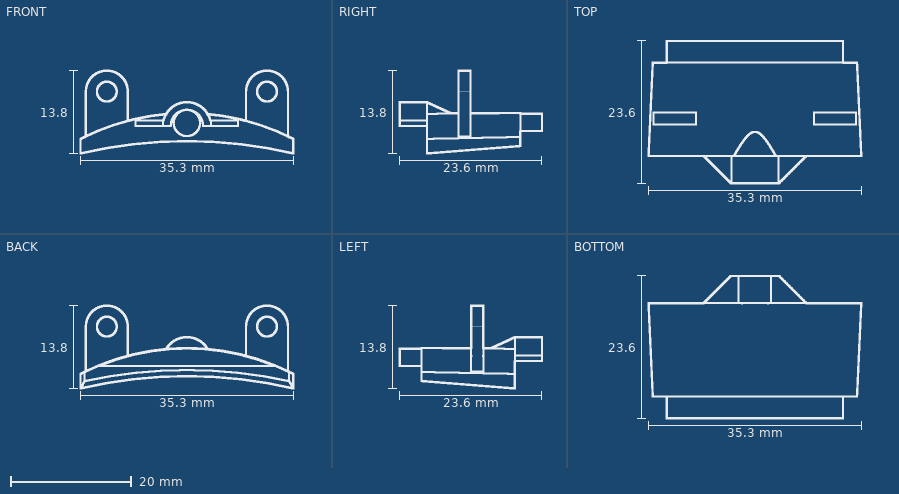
import cadquery as cq
import math


body_length = 15.5
front_half_width = 17.65
front_side_bottom = 0.0
front_side_top = 2.45
front_crown_bottom = 2.05
front_crown_top = 6.67
back_half_width = 16.95
back_side_bottom = 1.25
back_side_top = 2.75
back_crown_bottom = 3.07
back_crown_top = 6.75

tongue_length = 3.6
tongue_half_width = 14.6
tongue_bottom = 3.75
tongue_crown = 6.65

tube_length = 4.52
tube_axis_z = 4.55
tube_outer_radius = 4.0
tube_inner_radius = 2.7

cone_length = 8.65

wing_half_span = 8.5
wing_thickness = 0.95

dimple_sphere_radius = 2.47
dimple_mouth_radius = 2.2
dimple_z = 5.1

lug_offset = 13.27
lug_radius = 3.5
lug_hole_radius = 1.62
lug_top = 13.75
lug_base = 2.82
lug_front_y = 5.22
lug_thickness = 2.0


def plane_at(y):
    """Plane facing +Y, so that positive extrusion runs backwards."""
    return cq.Plane(origin=(0, y, 0), xDir=(-1, 0, 0), normal=(0, 1, 0))


def section(workplane, half_width, side_bottom, side_top, crown_bottom, crown_top):
    """Closed arched band with vertical ends."""
    return (
        workplane.moveTo(-half_width, side_bottom)
        .lineTo(-half_width, side_top)
        .threePointArc((0, crown_top), (half_width, side_top))
        .lineTo(half_width, side_bottom)
        .threePointArc((0, crown_bottom), (-half_width, side_bottom))
        .close()
    )


def make_body():
    front = section(
        cq.Workplane(plane_at(0)),
        front_half_width, front_side_bottom, front_side_top, front_crown_bottom, front_crown_top,
    )
    both = section(
        front.workplane(offset=body_length),
        back_half_width, back_side_bottom, back_side_top, back_crown_bottom, back_crown_top,
    )
    return both.loft(ruled=True)


def make_tongue():
    return (
        cq.Workplane(plane_at(body_length))
        .moveTo(-tongue_half_width, tongue_bottom)
        .threePointArc((0, tongue_crown), (tongue_half_width, tongue_bottom))
        .close()
        .extrude(tongue_length)
    )


def make_tube():
    """Half ring, open at the bottom."""
    return (
        cq.Workplane(plane_at(-tube_length))
        .moveTo(-tube_outer_radius, tube_axis_z)
        .threePointArc((0, tube_axis_z + tube_outer_radius), (tube_outer_radius, tube_axis_z))
        .lineTo(tube_inner_radius, tube_axis_z)
        .threePointArc((0, tube_axis_z + tube_inner_radius), (-tube_inner_radius, tube_axis_z))
        .close()
        .extrude(tube_length)
    )


def make_cone():
    """Upper half of a cone, revolved about the tube axis."""
    return (
        cq.Workplane("XY", origin=(0, 0, tube_axis_z))
        .polyline([(0, 0), (tube_outer_radius, 0), (0, cone_length)])
        .close()
        .revolve(180, (0, 0), (0, -1))
    )


def make_wing(side):
    """Triangle from the body face to the tip of the tube; it starts inside the tube wall."""
    root = side * (tube_outer_radius + tube_inner_radius) / 2
    return (
        cq.Workplane("XY", origin=(0, 0, tube_axis_z))
        .polyline([
            (root, 0),
            (side * wing_half_span, 0),
            (side * tube_outer_radius, -tube_length),
            (root, -tube_length),
        ])
        .close()
        .extrude(wing_thickness)
    )


def make_lug(side):
    centre_x = side * lug_offset
    centre_z = lug_top - lug_radius
    workplane = cq.Workplane(plane_at(lug_front_y))
    plate = (
        workplane.moveTo(centre_x - lug_radius, lug_base)
        .lineTo(centre_x - lug_radius, centre_z)
        .threePointArc((centre_x, lug_top), (centre_x + lug_radius, centre_z))
        .lineTo(centre_x + lug_radius, lug_base)
        .close()
        .extrude(lug_thickness)
    )
    hole = workplane.center(centre_x, centre_z).circle(lug_hole_radius).extrude(lug_thickness)
    return plate.cut(hole)


def make_dimple():
    """Sphere centred in front of the body, so that only a shallow cap cuts into it."""
    setback = math.sqrt(dimple_sphere_radius**2 - dimple_mouth_radius**2)
    return cq.Workplane("XY").sphere(dimple_sphere_radius).translate((0, -setback, dimple_z))


result = make_body().union(make_tongue()).union(make_cone()).cut(make_dimple()).union(make_tube())
for side in (-1, 1):
    result = result.union(make_wing(side)).union(make_lug(side))